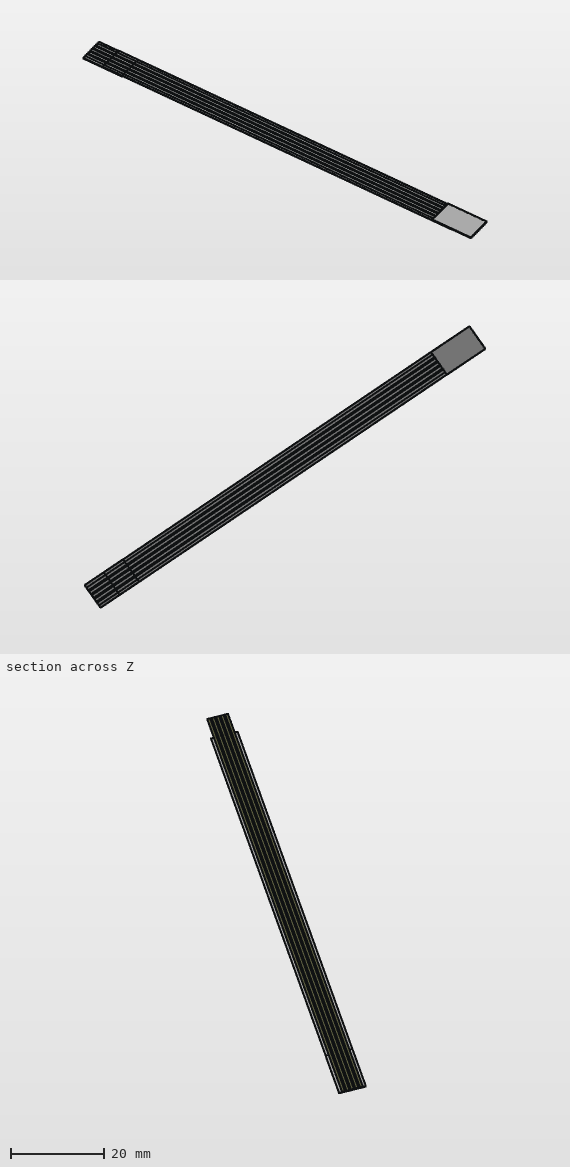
import cadquery as cq

length = 100.0
contact_count = 5
pitch = 1.0
width = (contact_count + 1) * pitch
conductor_width = 0.7

exposed_length = 5.0
stiffener_length = 10.0

total_thickness = 0.59
stiffener_thickness = 0.225
conductor_thickness = 0.05
film_thickness = (total_thickness - 2 * stiffener_thickness - conductor_thickness) / 2

lower_film_bottom = stiffener_thickness
conductor_bottom = lower_film_bottom + film_thickness
conductor_top = conductor_bottom + conductor_thickness
upper_film_top = conductor_top + film_thickness


def strip(x_start, x_end, z_bottom, z_top, strip_width=width, y_center=0.0):
    """Flat bar between two X positions and two heights."""
    bar = cq.Workplane("XY").box(
        x_end - x_start, strip_width, z_top - z_bottom, centered=(False, True, False)
    )
    return bar.translate((x_start, y_center, z_bottom))


def films():
    """Lower and upper film, each stopping short of the end where it bares the contacts."""
    lower = strip(0, length - exposed_length, lower_film_bottom, conductor_bottom)
    upper = strip(exposed_length, length, conductor_top, upper_film_top)
    return [lower, upper]


def conductors():
    """Full-length conductor strips, with open gaps between them."""
    first_y = -(contact_count - 1) * pitch / 2
    return [
        strip(0, length, conductor_bottom, conductor_top, conductor_width, first_y + i * pitch)
        for i in range(contact_count)
    ]


def stiffeners():
    """Backing plates behind the contacts: below the -X end, above the +X end."""
    below = strip(0, stiffener_length, 0, lower_film_bottom)
    above = strip(length - stiffener_length, length, upper_film_top, total_thickness)
    return [below, above]


lower_film, upper_film = films()
result = lower_film
for layer in conductors() + [upper_film] + stiffeners():
    result = result.union(layer)